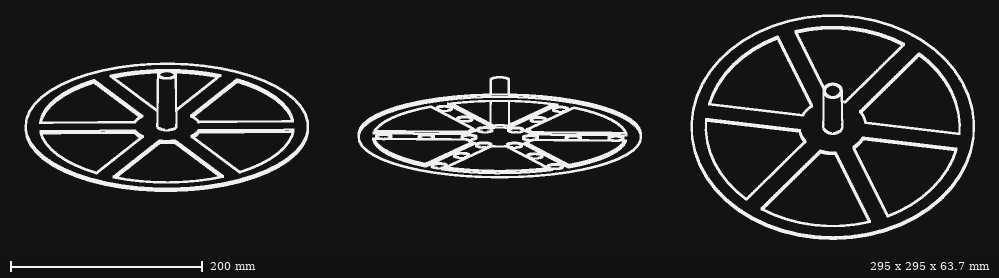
import cadquery as cq

rim_outer_diameter = 295.0
rim_width = 15.0
plate_thickness = 2.7
hub_radius = 34.8
spoke_count = 6
spoke_width = 20.0

post_height = 60.0
post_base_radius = 10.0
post_top_radius = 9.5
post_wall = 1.2

pad_diameter = 16.0
pad_height = 1.0
pad_first_radius = 32.0
pad_pitch = 44.5
pads_per_spoke = 3

rim_outer_radius = rim_outer_diameter / 2
rim_inner_radius = rim_outer_radius - rim_width
spoke_angle = 360 / spoke_count


def make_plate():
    """Flat ring joined to a round hub by straight radial spokes."""
    rim = (
        cq.Workplane("XY")
        .circle(rim_outer_radius)
        .circle(rim_inner_radius)
        .extrude(plate_thickness)
    )
    plate = rim.union(cq.Workplane("XY").circle(hub_radius).extrude(plate_thickness))
    spoke_length = rim_outer_radius - rim_width / 2
    spoke = cq.Workplane("XY").box(
        spoke_length, spoke_width, plate_thickness, centered=(False, True, False)
    )
    for index in range(spoke_count):
        plate = plate.union(spoke.rotate((0, 0, 0), (0, 0, 1), index * spoke_angle))
    return plate


def make_post():
    """Thin-walled cone, open at the top and closed by the hub below."""
    profile = [
        (post_base_radius - post_wall, plate_thickness),
        (post_base_radius, plate_thickness),
        (post_top_radius, plate_thickness + post_height),
        (post_top_radius - post_wall, plate_thickness + post_height),
    ]
    return cq.Workplane("XZ").polyline(profile).close().revolve(360, (0, 0, 0), (0, 1, 0))


def make_pads():
    """Rows of round pads along the spokes, hanging below the plate."""
    pads = cq.Workplane("XY")
    for row in range(pads_per_spoke):
        ring = (
            cq.Workplane("XY")
            .polarArray(pad_first_radius + row * pad_pitch, 0, 360, spoke_count)
            .circle(pad_diameter / 2)
            .extrude(-pad_height)
        )
        pads = pads.add(ring)
    return pads.combine()


result = make_plate().union(make_post()).union(make_pads())